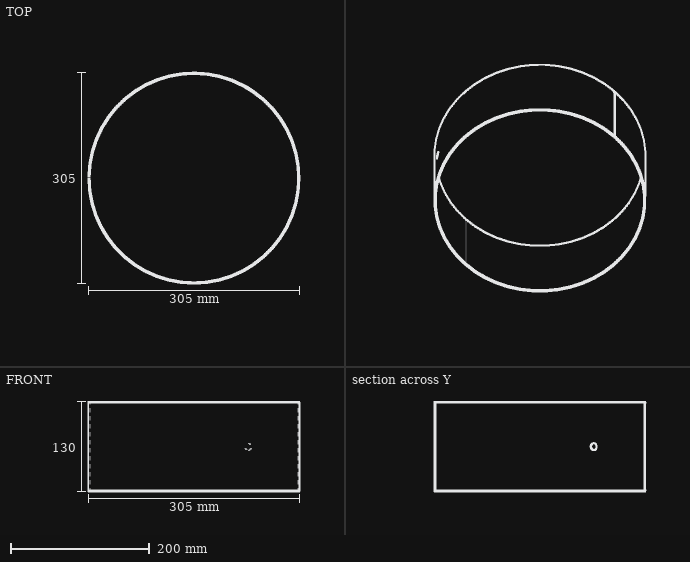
import cadquery as cq

outer_diameter = 305.0
height = 130.0
wall = 2.5

bevel_height = 1.8
bevel_depth = 0.5

split_width = 2.5
split_cut_depth = 4 * wall

hole_diameter = 10.0
hole_angle = 59.0

outer_radius = outer_diameter / 2
inner_radius = outer_radius - wall


def make_band():
    """Revolve the wall section, bevelled at its four corners."""
    section = (
        cq.Workplane("XZ")
        .moveTo(inner_radius + bevel_depth, 0)
        .lineTo(outer_radius - bevel_depth, 0)
        .lineTo(outer_radius, bevel_height)
        .lineTo(outer_radius, height - bevel_height)
        .lineTo(outer_radius - bevel_depth, height)
        .lineTo(inner_radius + bevel_depth, height)
        .lineTo(inner_radius, height - bevel_height)
        .lineTo(inner_radius, bevel_height)
        .close()
    )
    return section.revolve(360, (0, 0, 0), (0, 1, 0))


def make_split():
    return (
        cq.Workplane("XY")
        .center(-outer_radius, split_width / 2)
        .rect(split_cut_depth, split_width)
        .extrude(height)
    )


def make_hole():
    return (
        cq.Workplane("YZ")
        .center(0, height / 2)
        .circle(hole_diameter / 2)
        .extrude(outer_diameter)
        .rotate((0, 0, 0), (0, 0, 1), hole_angle)
    )


result = make_band().cut(make_split()).cut(make_hole())